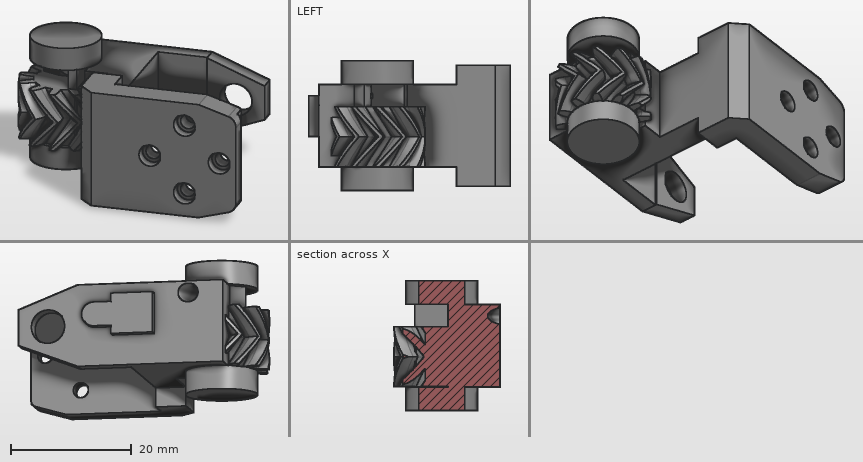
import cadquery as cq
import math


body_half_height = 6.85
plate_half_height = 10.05
hub_diameter = 11.95
overall_height = 21.55
hub_top = overall_height / 2
hub_height = hub_top - body_half_height

body_left = -2.15
body_back = 9.7
body_front = -5.0
pocket_edge = 4.85

finger_tip = (-4.5, 2.15)
finger_root_y = 3.8
ledge_left = -1.35
ledge_tilt = 20.0
rib_left = 1.75
rib_right = 3.27
rib_front = -4.45
ledge_y = finger_tip[1] - (ledge_left - finger_tip[0]) * math.tan(math.radians(ledge_tilt))

leg_left = 8.75
leg_right = 13.85
leg_wide_y = -13.1
plate_inner = -17.15
plate_front = -22.0
plate_chamfer = 2.48
plate_right = 36.3
plate_taper_start = 29.8
plate_corner_z = 8.15
plate_corner_radius = 1.85
plate_trim_x = 35.75
plate_trim_y = -19.3

arm_inner = 6.95
arm_pad_inner = 6.68
arm_taper_start = 22.38
arm_right = 32.35
arm_end_half_height = 3.0

pivot_x = 27.37
arm_hole_diameter = 5.6
screw_circle_radius = 6.0
screw_hole_diameter = 2.5
screw_head_diameter = 3.7
screw_head_depth = 2.0

ledge_hole_diameter = 3.15
ledge_hole_tilt = 22.0
ledge_hole_z = 4.9

pad_left = 9.37
pad_shoulder = 16.4
pad_top = 4.95
pad_bottom = -1.8
pad_thickness = 1.7
pad_tongue_radius = 2.0
pad_right = 21.35

tooth_count = 12
gear_radius = 7.9
root_radius = 5.35
gear_height = 9.9
gear_top = 3.15
half_twist = 34.5
tip_half_width = 0.45
flank_half_width = 0.65
flank_radius = 7.15
base_radius = 6.32
base_half_width = 0.75


def block(x_range, y_range, half_height):
    """Box between two X and two Y limits, centred on z = 0."""
    width = x_range[1] - x_range[0]
    depth = y_range[1] - y_range[0]
    center = (sum(x_range) / 2, sum(y_range) / 2)
    return cq.Workplane("XY").center(*center).box(width, depth, 2 * half_height)


def make_body():
    """Body, rear arm strip and leg, with the stepped pocket around the gear."""
    outline = [
        (body_left, body_back),
        (arm_taper_start, body_back),
        (arm_taper_start, arm_inner),
        (leg_right, arm_inner),
        (leg_right, plate_inner),
        (leg_left, plate_inner),
        (leg_left, body_front),
        (pocket_edge, body_front),
        (pocket_edge, ledge_y),
        (rib_right, ledge_y),
        (rib_right, rib_front),
        (rib_left, rib_front),
        (rib_left, ledge_y),
        (ledge_left, ledge_y),
        finger_tip,
        (body_left, finger_root_y),
    ]
    body = cq.Workplane("XY").polyline(outline).close().extrude(body_half_height, both=True)
    return body.cut(make_ledge_hole())


def make_ledge_hole():
    """Inclined cylinder from just in front of the ledge out through the back face."""
    tilt = math.radians(ledge_hole_tilt)
    direction = cq.Vector(math.sin(tilt), math.cos(tilt), 0)
    run_out = ledge_hole_diameter / 2
    mouth = cq.Vector((ledge_left + rib_left) / 2, ledge_y, ledge_hole_z)
    start = mouth - direction * run_out
    length = (body_back - ledge_y) / math.cos(tilt) + 2 * run_out
    return cq.Workplane(cq.Solid.makeCylinder(ledge_hole_diameter / 2, length, start, direction))


def make_arm_end():
    """Tapered end of the rear arm with its pivot hole."""
    outline = [
        (arm_taper_start, -body_half_height),
        (arm_right, -arm_end_half_height),
        (arm_right, arm_end_half_height),
        (arm_taper_start, body_half_height),
    ]
    return (
        cq.Workplane("XZ", origin=(0, body_back, 0))
        .polyline(outline)
        .close()
        .extrude(body_back - arm_pad_inner)
        .faces("<Y")
        .workplane(origin=(pivot_x, 0, 0))
        .hole(arm_hole_diameter)
    )


def make_plate():
    """Front plate with tapered rounded end, bevelled corner and four screw holes."""
    outline = [
        (leg_left, -plate_half_height),
        (plate_taper_start, -plate_half_height),
        (plate_right, -plate_corner_z),
        (plate_right, plate_corner_z),
        (plate_taper_start, plate_half_height),
        (leg_left, plate_half_height),
    ]
    plate = (
        cq.Workplane("XZ", origin=(0, plate_inner, 0))
        .polyline(outline)
        .close()
        .extrude(plate_inner - plate_front)
        .edges("|Y and >X")
        .fillet(plate_corner_radius)
        .edges("|Z and <X and <Y")
        .chamfer(plate_chamfer)
    )
    plate = (
        plate.faces("<Y")
        .workplane(origin=(pivot_x, 0, 0))
        .polarArray(screw_circle_radius, 0, 360, 4)
        .cboreHole(screw_hole_diameter, screw_head_diameter, screw_head_depth)
    )
    return plate.cut(block((plate_trim_x, plate_right), (plate_trim_y, plate_inner), plate_half_height))


def make_back_pad():
    """Rectangular pad with a round-ended tongue on the back face."""
    middle = (pad_top + pad_bottom) / 2
    outline = (
        cq.Workplane("XZ", origin=(0, body_back, 0))
        .moveTo(pad_shoulder, middle + pad_tongue_radius)
        .lineTo(pad_shoulder, pad_top)
        .lineTo(pad_left, pad_top)
        .lineTo(pad_left, pad_bottom)
        .lineTo(pad_shoulder, pad_bottom)
        .lineTo(pad_shoulder, middle - pad_tongue_radius)
        .lineTo(pad_right - pad_tongue_radius, middle - pad_tongue_radius)
        .threePointArc(
            (pad_right, middle),
            (pad_right - pad_tongue_radius, middle + pad_tongue_radius),
        )
        .close()
    )
    return outline.extrude(-pad_thickness)


def on_circle(radius, offset, turn):
    """Point at a radius, shifted sideways by an offset from the direction of turn degrees."""
    angle = math.radians(turn) + math.asin(offset / radius)
    return (radius * math.cos(angle), radius * math.sin(angle))


def make_gear_half():
    """Upper half of the gear, twisted from its middle plane up to its top face."""
    pitch = 360 / tooth_count
    profile = cq.Workplane("XY").moveTo(*on_circle(root_radius, -base_half_width, half_twist))
    for tooth in range(tooth_count):
        turn = half_twist + tooth * pitch
        next_turn = turn + pitch
        profile = (
            profile.lineTo(*on_circle(base_radius, -base_half_width, turn))
            .threePointArc(
                on_circle(flank_radius, -flank_half_width, turn),
                on_circle(gear_radius, -tip_half_width, turn),
            )
            .threePointArc(
                on_circle(gear_radius, 0, turn),
                on_circle(gear_radius, tip_half_width, turn),
            )
            .threePointArc(
                on_circle(flank_radius, flank_half_width, turn),
                on_circle(base_radius, base_half_width, turn),
            )
            .lineTo(*on_circle(root_radius, base_half_width, turn))
            .threePointArc(
                on_circle(root_radius, 0, turn + pitch / 2),
                on_circle(root_radius, -base_half_width, next_turn),
            )
        )
    return profile.close().twistExtrude(gear_height / 2, -half_twist)


def make_gear():
    """Herringbone gear made of two mirrored twisted halves."""
    upper = make_gear_half()
    return upper.union(upper.mirror("XY")).translate((0, 0, gear_top - gear_height / 2))


def make_hub(bottom):
    """Plain disc on the gear axis."""
    return cq.Workplane("XY", origin=(0, 0, bottom)).circle(hub_diameter / 2).extrude(hub_height)


wide_leg = block((leg_left, leg_right), (plate_inner, leg_wide_y), plate_half_height)

result = (
    make_body()
    .union(wide_leg)
    .union(make_plate())
    .union(make_arm_end())
    .union(make_back_pad())
    .union(make_hub(body_half_height))
    .union(make_hub(-hub_top))
    .union(make_gear())
)